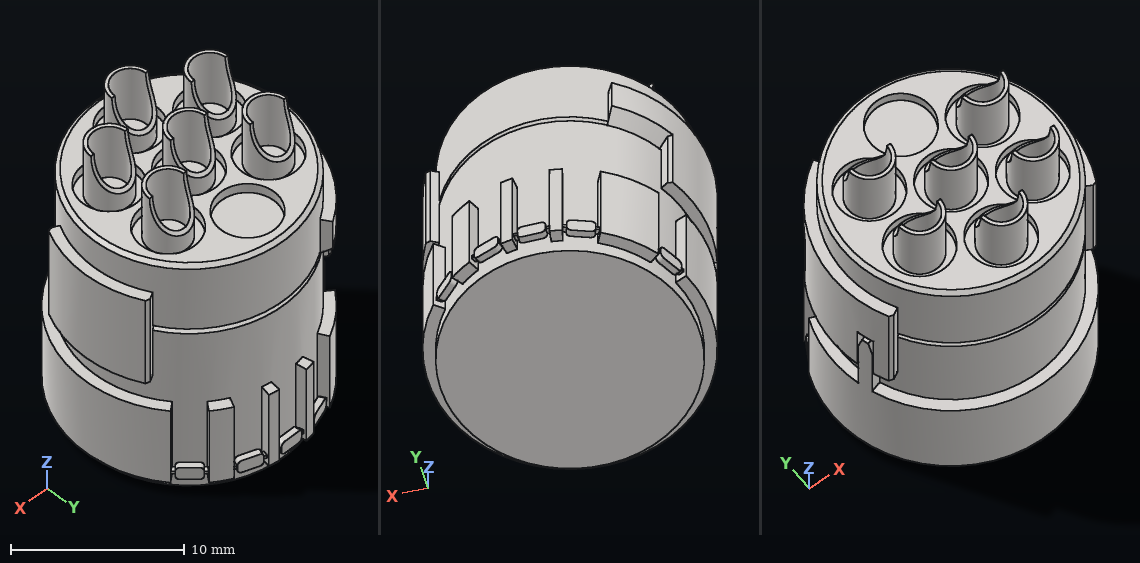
import cadquery as cq
import math

CORE_RADIUS = 7.75
CORE_TOP = 18.48
TOP_CHAMFER_RADIAL = 0.3
TOP_CHAMFER_HEIGHT = 0.25
GROOVE_Z = 13.0
GROOVE_DEPTH = 0.26
GROOVE_HALF_HEIGHT = 0.2

RING_DIAMETER = 17.0
RING_RADIUS = RING_DIAMETER / 2
RING_BOTTOM = 1.0
RING_TOP = 7.02
WINDOW_ANGLES = [45, 70, 90, 110, 150]
WINDOW_SPAN = 15.0

TAB_INNER = 7.9
TAB_OUTER = 8.34
TAB_WIDTH = 1.67
TAB_HEIGHT = 1.0
TAB_BOTTOM = 1.17
TAB_MIDDLE_Z = TAB_BOTTOM + TAB_HEIGHT / 2
TAB_CORNER_RADIUS = 0.29
NECK_OUTER = 8.25
NECK_LENGTH = 2.29
NECK_HEIGHT = 0.22

PANEL_BOTTOM = 9.02
PANEL_TOP = 16.0
PANEL_HALF_SPAN = 29.0
PANEL_CORNER_CHAMFER = 0.22
LEFT_PANEL_BACK = 148.3
STRIP_BACK = 122.0
STRIP_OVERLAP = 5.0
STRIP_BOTTOM = 13.73
STRIP_UNDERSIDE_SLOPE = 0.74

TONGUE_ANGLE = 196.8
TONGUE_WIDTH = 0.97
TONGUE_TIP_WIDTH = 0.45
TONGUE_SHOULDER = 11.09
TONGUE_TOP = 11.97
SLOT_WIDTH = 1.12
SLOT_TOP = 12.5

CONTACT_CIRCLE_RADIUS = 4.75
WELL_ANGLES = range(30, 360, 60)
EMPTY_WELL_ANGLE = 90
WELL_DIAMETER = 4.3
WELL_DEPTH = 0.75
CUP_DIAMETER = 3.04
CUP_BORE_DIAMETER = 2.53
CUP_TOP = 22.0
CUP_CUT_RADIUS = 3.52

WELL_FLOOR = CORE_TOP - WELL_DEPTH

INNER_OVERLAP = 0.65
CUT_MARGIN = 0.22
BURIED_RADIUS = CORE_RADIUS - INNER_OVERLAP
RADIAL_REACH = RING_RADIUS + CUT_MARGIN - BURIED_RADIUS


def polar(radius, angle):
    """Point at a radius and an angle in degrees around the Z axis."""
    return (radius * math.cos(math.radians(angle)), radius * math.sin(math.radians(angle)))


def well_centre(angle):
    return polar(CONTACT_CIRCLE_RADIUS, angle)


def revolved(profile, start, end):
    """Solid swept around the Z axis by a (radius, z) profile between two angles."""
    return (
        cq.Workplane("XZ")
        .polyline(profile)
        .close()
        .revolve(end - start, (0, 0, 0), (0, 1, 0))
        .rotate((0, 0, 0), (0, 0, 1), start)
    )


def sector(inner, outer, start, end, bottom, top):
    """Ring sector with radial ends between two angles."""
    profile = [(inner, bottom), (outer, bottom), (outer, top), (inner, top)]
    return revolved(profile, start, end)


def radial_plane(angle, distance):
    """Plane facing outward at an angle; local X is tangential and local Y is up."""
    outward = (*polar(1, angle), 0)
    tangent = (*polar(1, angle + 90), 0)
    return cq.Workplane(cq.Plane(origin=(*polar(distance, angle), 0), xDir=tangent, normal=outward))


def make_core():
    profile = [
        (0, 0),
        (CORE_RADIUS, 0),
        (CORE_RADIUS, GROOVE_Z - GROOVE_HALF_HEIGHT),
        (CORE_RADIUS - GROOVE_DEPTH, GROOVE_Z),
        (CORE_RADIUS, GROOVE_Z + GROOVE_HALF_HEIGHT),
        (CORE_RADIUS, CORE_TOP - TOP_CHAMFER_HEIGHT),
        (CORE_RADIUS - TOP_CHAMFER_RADIAL, CORE_TOP),
        (0, CORE_TOP),
    ]
    return revolved(profile, 0, 360)


def make_ring():
    ring = (
        cq.Workplane("XY", origin=(0, 0, RING_BOTTOM))
        .circle(RING_RADIUS)
        .circle(CORE_RADIUS)
        .extrude(RING_TOP - RING_BOTTOM)
    )
    half = WINDOW_SPAN / 2
    for angle in WINDOW_ANGLES:
        ring = ring.cut(
            sector(
                CORE_RADIUS - CUT_MARGIN, RING_RADIUS + CUT_MARGIN,
                angle - half, angle + half,
                RING_BOTTOM, RING_TOP,
            )
        )
    return ring


def make_coding_tab(angle):
    tab = (
        radial_plane(angle, TAB_INNER)
        .center(0, TAB_MIDDLE_Z)
        .rect(TAB_WIDTH, TAB_HEIGHT)
        .extrude(TAB_OUTER - TAB_INNER)
        .edges(cq.selectors.ParallelDirSelector(cq.Vector(*polar(1, angle), 0)))
        .fillet(TAB_CORNER_RADIUS)
    )
    neck = (
        radial_plane(angle, TAB_INNER)
        .center(0, TAB_MIDDLE_Z)
        .rect(NECK_LENGTH, NECK_HEIGHT)
        .extrude(NECK_OUTER - TAB_INNER)
    )
    return tab.union(neck)


def make_panel(start, end):
    """Full-height panel with chamfered upright corners; the inner corners are buried in the core."""
    panel = sector(BURIED_RADIUS, RING_RADIUS, start, end, PANEL_BOTTOM, PANEL_TOP)
    return panel.edges("|Z").chamfer(PANEL_CORNER_CHAMFER)


def make_strip():
    """Strip running back from the left panel, with a conical underside reaching the groove root."""
    groove_root = CORE_RADIUS - GROOVE_DEPTH
    inner_bottom = STRIP_BOTTOM - STRIP_UNDERSIDE_SLOPE * (RING_RADIUS - groove_root)
    profile = [
        (groove_root, inner_bottom),
        (RING_RADIUS, STRIP_BOTTOM),
        (RING_RADIUS, PANEL_TOP),
        (groove_root, PANEL_TOP),
    ]
    return revolved(profile, STRIP_BACK, LEFT_PANEL_BACK + STRIP_OVERLAP)


def make_tongue():
    """Upright tongue rising from the ring to a tapered tip, flush with the ring outside."""
    half = TONGUE_WIDTH / 2
    half_tip = TONGUE_TIP_WIDTH / 2
    blank = (
        radial_plane(TONGUE_ANGLE, BURIED_RADIUS)
        .polyline([
            (-half, RING_BOTTOM),
            (half, RING_BOTTOM),
            (half, TONGUE_SHOULDER),
            (half_tip, TONGUE_TOP),
            (-half_tip, TONGUE_TOP),
            (-half, TONGUE_SHOULDER),
        ])
        .close()
        .extrude(RADIAL_REACH)
    )
    return blank.intersect(cq.Workplane("XY").circle(RING_RADIUS).extrude(CORE_TOP))


def make_tongue_slot():
    return (
        radial_plane(TONGUE_ANGLE, BURIED_RADIUS)
        .center(0, (PANEL_BOTTOM + SLOT_TOP) / 2)
        .rect(SLOT_WIDTH, SLOT_TOP - PANEL_BOTTOM)
        .extrude(RADIAL_REACH)
    )


def make_wells():
    return (
        cq.Workplane("XY", origin=(0, 0, WELL_FLOOR))
        .pushPoints([(0, 0)] + [well_centre(angle) for angle in WELL_ANGLES])
        .circle(WELL_DIAMETER / 2)
        .extrude(WELL_DEPTH)
    )


def make_housing():
    left_panel = make_panel(LEFT_PANEL_BACK, 180 + PANEL_HALF_SPAN).cut(make_tongue_slot())
    right_panel = make_panel(-PANEL_HALF_SPAN, PANEL_HALF_SPAN)
    housing = make_core().union(make_ring())
    for feature in [left_panel, right_panel, make_strip(), make_tongue()]:
        housing = housing.union(feature)
    for angle in WINDOW_ANGLES:
        housing = housing.union(make_coding_tab(angle))
    return housing.cut(make_wells())


def make_contact(centre):
    """Solder cup standing on its well floor, its +Y half cut away by a concave curve."""
    cup = (
        cq.Workplane("XY", origin=(0, 0, WELL_FLOOR))
        .circle(CUP_DIAMETER / 2)
        .circle(CUP_BORE_DIAMETER / 2)
        .extrude(CUP_TOP - WELL_FLOOR)
    )
    cutter = (
        cq.Workplane("YZ", origin=(-CUP_DIAMETER / 2, 0, 0))
        .center(CUP_CUT_RADIUS, CUP_TOP)
        .circle(CUP_CUT_RADIUS)
        .extrude(CUP_DIAMETER)
    )
    return cup.cut(cutter).translate((*centre, 0))


housing = make_housing()

contact_centres = [(0, 0)]
for angle in WELL_ANGLES:
    if angle != EMPTY_WELL_ANGLE:
        contact_centres.append(well_centre(angle))

contacts = [make_contact(centre) for centre in contact_centres]

result = cq.Compound.makeCompound([housing.val(), *[contact.val() for contact in contacts]])